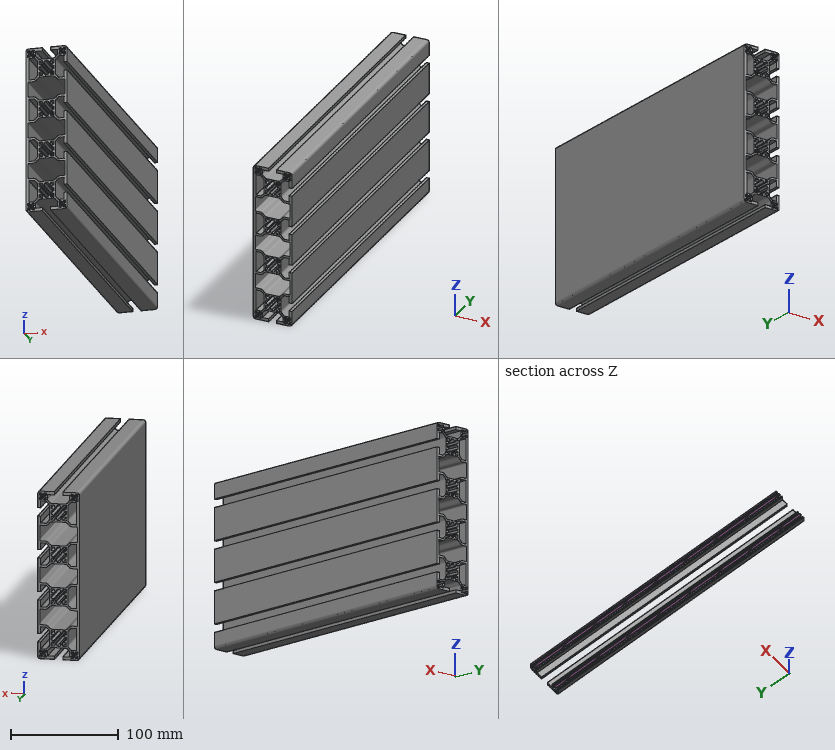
import cadquery as cq

length = 300.0
width = 40.0
height = 160.0
module_count = 4
pitch = height / module_count
corner_radius = 3.0

slot_opening = 8.0
slot_half_width = 10.5
lip_thickness = 3.0
slot_reach = width / 2 - lip_thickness
mouth_depth = 3 * lip_thickness

core_half = 8.7
core_wall = 1.5
web_offset = 1.35
slot_core_fillet = 3.0
slot_rib_fillet = 0.5
chamber_web_fillet = 3.5
chamber_corner_fillet = 1.0

bore_half = core_half - core_wall
tooth_tip_start = 2.5
tooth_tip_end = 3.3
tooth_tip_depth = 2.5
tooth_base_start = 1.2
tooth_base_end = 4.2

rib_thickness = 2.0
rib_face = slot_half_width + rib_thickness
chamber_half_width = 17.7

corner_bore_wall = 1.8
corner_bore_side = 6.3
corner_ridge_width = 2.5
corner_ridge_height = 1.0

module_heights = [(i - (module_count - 1) / 2) * pitch for i in range(module_count)]


def prism(points, x=0.0, z=0.0):
    """Extrude a closed XZ outline, shifted to (x, z), over the full length."""
    shifted = [(x + px, z + pz) for px, pz in points]
    return cq.Workplane("XZ").polyline(shifted).close().extrude(length / 2, both=True)


def quarter_turns(points, turns):
    """Rotate XZ points about the origin by a number of quarter turns."""
    for _ in range(turns):
        points = [(-pz, px) for px, pz in points]
    return points


def block(x_size, z_size, x=0.0, z=0.0):
    """Full-length rectangular bar centred on (x, z)."""
    return cq.Workplane("XY").box(x_size, length, z_size).translate((x, 0, z))


def slot_outline():
    """Undercut slot on the +X side of a core, narrowing towards the core."""
    half = [
        (core_half, core_half - web_offset),
        (slot_half_width + web_offset, slot_half_width),
        (slot_reach, slot_half_width),
    ]
    return half + [(x, -z) for x, z in reversed(half)]


def core_bore_outline():
    """Square bore with two blunt teeth on every side."""
    tip = bore_half - tooth_tip_depth
    half = [
        (bore_half, tooth_base_start),
        (tip, tooth_tip_start),
        (tip, tooth_tip_end),
        (bore_half, tooth_base_end),
        (bore_half, bore_half),
    ]
    side = [(x, -z) for x, z in reversed(half[:-1])] + half
    return [p for turn in range(4) for p in quarter_turns(side, turn)]


def corner_bore_outline():
    """Square bore with one rectangular ridge along the middle of every side."""
    half = corner_bore_side / 2
    ridge = corner_ridge_width / 2
    side = [
        (half, -ridge),
        (half - corner_ridge_height, -ridge),
        (half - corner_ridge_height, ridge),
        (half, ridge),
        (half, half),
    ]
    return [p for turn in range(4) for p in quarter_turns(side, turn)]


def chamber_outline():
    """Closed chamber centred midway between two cores."""
    rib = pitch / 2 - rib_face
    core = pitch / 2 - core_half
    upper_right = [
        (chamber_half_width, rib),
        (rib_face - web_offset, rib),
        (core_half - web_offset, core),
    ]
    upper = upper_right + [(-x, z) for x, z in reversed(upper_right)]
    return upper + [(-x, -z) for x, z in upper]


def slot(turns, z):
    """Slot cutter turned about its core centre, rounded where web meets core and rib."""
    cutter = prism(slot_outline())
    cutter = cutter.edges("|Y").edges("not (<X or >X)").fillet(slot_rib_fillet)
    cutter = cutter.edges("|Y").edges("<X").fillet(slot_core_fillet)
    return cutter.rotate((0, 0, 0), (0, 1, 0), -90 * turns).translate((0, 0, z))


def chamber(z):
    """Chamber cutter with rounded web ends and wall corners."""
    cutter = prism(chamber_outline())
    cutter = cutter.edges("|Y").edges("not (<X or >X)").fillet(chamber_web_fillet)
    cutter = cutter.edges("|Y").edges("<X or >X").fillet(chamber_corner_fillet)
    return cutter.translate((0, 0, z))


body = block(width, height).edges("|Y").fillet(corner_radius)

for z in module_heights:
    body = body.cut(prism(core_bore_outline(), z=z))
    body = body.cut(slot(0, z))
    body = body.cut(slot(2, z))
    body = body.cut(block(mouth_depth, slot_opening, width / 2, z))

for turns, z, sign in ((1, module_heights[-1], 1), (3, module_heights[0], -1)):
    body = body.cut(slot(turns, z))
    body = body.cut(block(slot_opening, mouth_depth, z=sign * height / 2))

for z in module_heights[:-1]:
    body = body.cut(chamber(z + pitch / 2))

corner_inset = corner_bore_wall + corner_bore_side / 2
for x_sign in (-1, 1):
    for z_sign in (-1, 1):
        x = x_sign * (width / 2 - corner_inset)
        z = z_sign * (height / 2 - corner_inset)
        body = body.cut(prism(corner_bore_outline(), x, z))

result = body